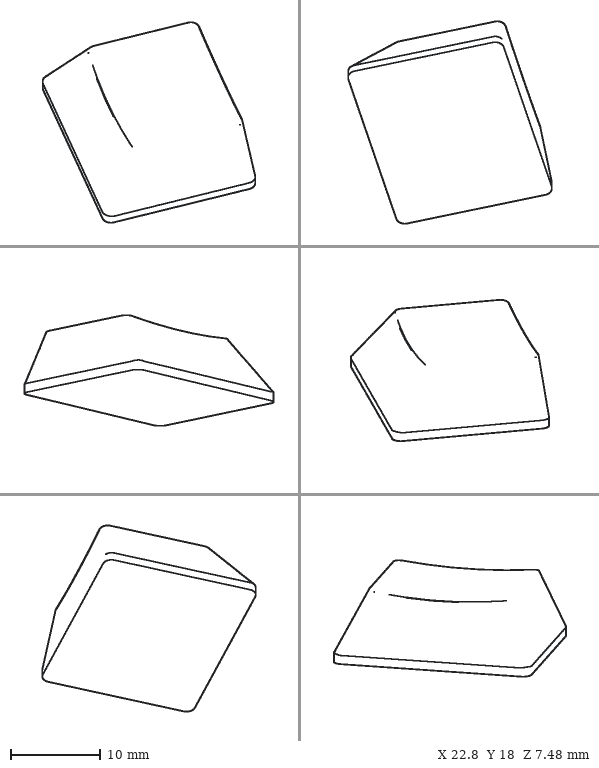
import cadquery as cq

length = 22.75
width = 18.0
skirt_height = 1.02

height = 7.49
side_inset = 3.0
front_inset = 4.45
back_inset = 0.55
corner_radius = 1.0

dish_depth = 0.55
rim_fillet = 0.1

top_length = length - 2 * side_inset
top_width = width - front_inset - back_inset
top_center_y = (front_inset - back_inset) / 2
dish_radius = ((top_length / 2) ** 2 + dish_depth**2) / (2 * dish_depth)


def round_corners(body):
    return body.edges("not(|X or |Y)").fillet(corner_radius)


def make_outer_block():
    return round_corners(cq.Workplane("XY").rect(length, width).extrude(height))


def make_taper():
    run_on = skirt_height / (height - skirt_height)
    foot_length = length + 2 * side_inset * run_on
    foot_width = width + (front_inset + back_inset) * run_on
    foot_center_y = -top_center_y * run_on
    taper = (
        cq.Workplane("XY")
        .center(0, foot_center_y)
        .rect(foot_length, foot_width)
        .workplane(offset=height)
        .center(0, top_center_y - foot_center_y)
        .rect(top_length, top_width)
        .loft(ruled=True)
    )
    return round_corners(taper)


def make_dish_cutter():
    axis_height = height - dish_depth + dish_radius
    return (
        cq.Workplane("XZ", origin=(0, 0, axis_height))
        .circle(dish_radius)
        .extrude(width, both=True)
    )


def soften_rim(body):
    dish_bottom = (0, top_center_y, height - dish_depth)
    dish_face = body.faces(cq.selectors.NearestToPointSelector(dish_bottom))
    return dish_face.edges().fillet(rim_fillet)


cap = make_outer_block().intersect(make_taper())
cap = cap.cut(make_dish_cutter())
result = soften_rim(cap)